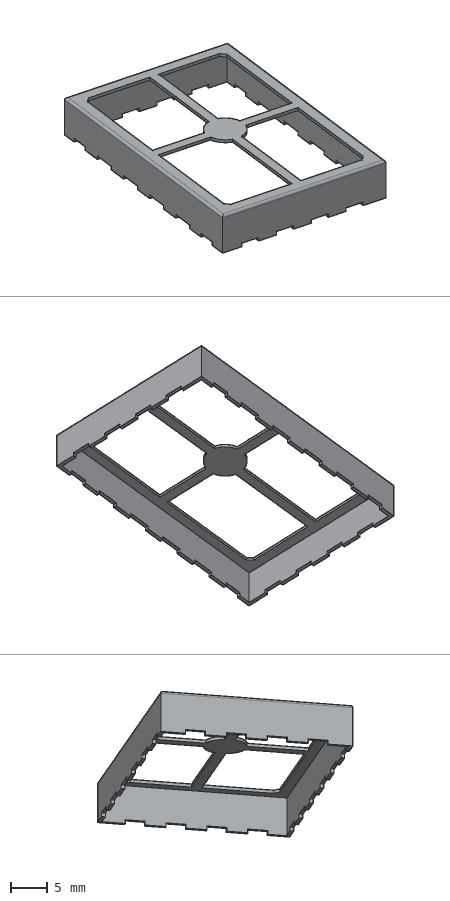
import cadquery as cq

length = 39.12
width = 27.2
height = 6.0
top_edge_radius = 0.4

wall = 0.5
plate_thickness = 0.45

rim = 2.0
window_corner = 0.7
bar_width = 1.5
hub_radius = 3.0

notch_height = 0.55
long_notch_pitch = 6.45
long_notch_width = 3.4
long_notch_count = 4
end_notch_width = 2.75
end_notch_left_x = -15.8
end_notch_right_x = 15.6
side_notch_pitch = 5.8
side_notch_width = 2.8
side_notch_count = 4
far_notch_shift = 0.3


def box_from_base(size_x, size_y, size_z, center_x=0.0, center_y=0.0, base_z=0.0):
    box = cq.Workplane("XY").box(size_x, size_y, size_z, centered=(True, True, False))
    return box.translate((center_x, center_y, base_z))


def make_shell():
    body = box_from_base(length, width, height).faces(">Z").edges().fillet(top_edge_radius)
    cavity = box_from_base(length - 2 * wall, width - 2 * wall, height - plate_thickness)
    return body.cut(cavity)


def make_windows():
    plate_base = height - plate_thickness
    window_length = length - 2 * rim
    window_width = width - 2 * rim
    opening = box_from_base(window_length, window_width, plate_thickness, base_z=plate_base)
    opening = opening.edges("|Z").chamfer(window_corner)
    bar_x = box_from_base(length, bar_width, plate_thickness, base_z=plate_base)
    bar_y = box_from_base(bar_width, width, plate_thickness, base_z=plate_base)
    hub = cq.Workplane("XY").workplane(offset=plate_base).circle(hub_radius).extrude(plate_thickness)
    return opening.cut(bar_x).cut(bar_y).cut(hub)


def centered_positions(count, pitch):
    return [(i - (count - 1) / 2) * pitch for i in range(count)]


def notch_long_walls(body):
    """Cut the notches in the -Y and +Y walls: an even row with a narrower notch at each end."""
    notches = [(x, long_notch_width) for x in centered_positions(long_notch_count, long_notch_pitch)]
    notches += [(x, end_notch_width) for x in (end_notch_left_x, end_notch_right_x)]
    wall_center = (width - wall) / 2
    for x, notch_width in notches:
        for y in (-wall_center, wall_center):
            body = body.cut(box_from_base(notch_width, wall, notch_height, x, y))
    return body


def notch_side_walls(body):
    """Cut the notches in the -X and +X walls; those in the +X wall sit slightly towards -Y."""
    wall_center = (length - wall) / 2
    for y in centered_positions(side_notch_count, side_notch_pitch):
        body = body.cut(box_from_base(wall, side_notch_width, notch_height, -wall_center, y))
        body = body.cut(box_from_base(wall, side_notch_width, notch_height, wall_center, y - far_notch_shift))
    return body


result = make_shell().cut(make_windows())
result = notch_long_walls(result)
result = notch_side_walls(result)